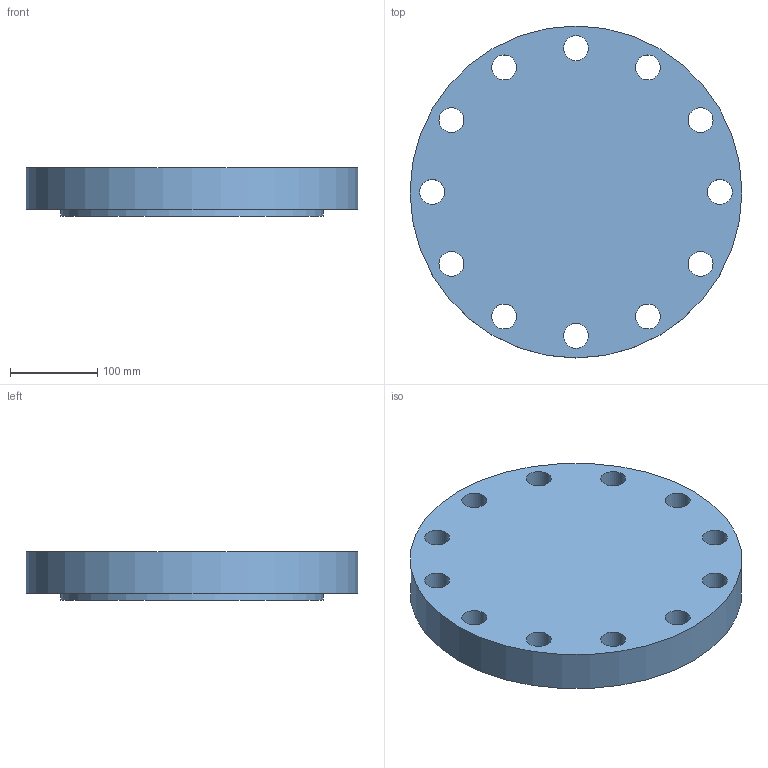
import cadquery as cq

flange_diameter = 381.0
overall_height = 55.69
raised_face_diameter = 301.5
raised_face_height = 7.92
flange_thickness = overall_height - raised_face_height

bolt_circle_diameter = 330.2
bolt_hole_diameter = 28.575
bolt_hole_count = 12


def flange_body():
    """Round plate standing on its narrower raised face, which starts at Z = 0."""
    raised_face = cq.Workplane("XY").circle(raised_face_diameter / 2).extrude(raised_face_height)
    return (
        raised_face.faces(">Z")
        .workplane()
        .circle(flange_diameter / 2)
        .extrude(flange_thickness)
    )


def bolt_holes():
    """Ring of evenly spaced cylinders, the first one on the +X axis."""
    return (
        cq.Workplane("XY")
        .polarArray(bolt_circle_diameter / 2, 0, 360, bolt_hole_count)
        .circle(bolt_hole_diameter / 2)
        .extrude(overall_height)
    )


result = flange_body().cut(bolt_holes())